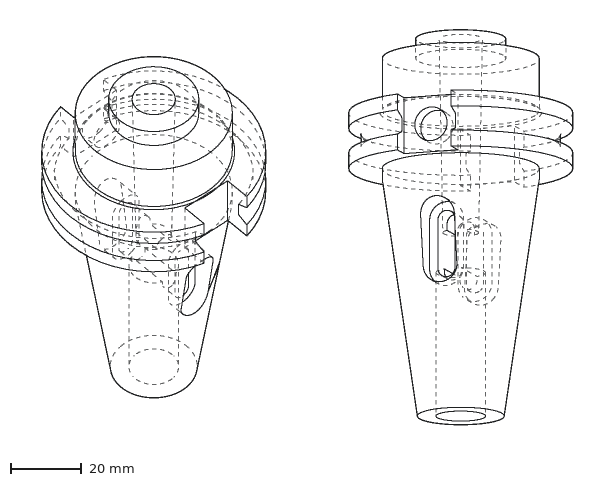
import cadquery as cq

total_height = 108.9
pilot_height = 5.7
gauge_height = 68.4
flange_bottom = 71.4
flange_thickness = 16.1
flange_top = flange_bottom + flange_thickness
shoulder_height = total_height - pilot_height

taper_small_diameter = 24.6
body_diameter = 44.4
flange_diameter = 63.4
pilot_diameter = 25.5

groove_diameter = 56.3
groove_floor_width = 4.1
groove_mouth_width = 7.0
groove_center = flange_bottom + flange_thickness / 2
corner_fillet = 0.7
groove_root_fillet = 0.7

keyway_width = 16.1
left_keyway_floor = 25.0
right_keyway_floor = 22.4

pocket_diameter = 9.7
pocket_depth = 5.0

socket_mouth_diameter = 12.2
socket_end_diameter = 10.1
socket_depth = 56.0
bolt_hole_diameter = 14.0
bolt_hole_depth = 41.4

slot_width = 5.1
slot_length = 19.2
slot_center = 47.5
recess_border = 2.5
recess_floor = 12.0


def turned_body():
    """Revolved outline: taper, grooved flange, body and pilot."""
    body_radius = body_diameter / 2
    flange_radius = flange_diameter / 2
    groove_radius = groove_diameter / 2
    pilot_radius = pilot_diameter / 2
    fillet_start = (body_radius + corner_fillet, flange_top)
    fillet_end = (body_radius, flange_top + corner_fillet)
    outline = (
        cq.Workplane("XZ")
        .lineTo(taper_small_diameter / 2, 0)
        .lineTo(body_radius, gauge_height)
        .lineTo(body_radius, flange_bottom)
        .lineTo(flange_radius, flange_bottom)
        .lineTo(flange_radius, groove_center - groove_mouth_width / 2)
        .lineTo(groove_radius, groove_center - groove_floor_width / 2)
        .lineTo(groove_radius, groove_center + groove_floor_width / 2)
        .lineTo(flange_radius, groove_center + groove_mouth_width / 2)
        .lineTo(flange_radius, flange_top)
        .lineTo(*fillet_start)
        .radiusArc(fillet_end, corner_fillet)
        .lineTo(body_radius, shoulder_height)
        .lineTo(pilot_radius, shoulder_height)
        .lineTo(pilot_radius, total_height)
        .lineTo(0, total_height)
        .close()
    )
    body = outline.revolve(360, (0, 0), (0, 1))
    groove_root = cq.selectors.BoxSelector(
        (-groove_radius, -groove_radius, groove_center - groove_floor_width),
        (groove_radius, groove_radius, groove_center + groove_floor_width),
    )
    root_edges = body.edges("%CIRCLE").edges(groove_root).edges(cq.selectors.RadiusNthSelector(0))
    return root_edges.fillet(groove_root_fillet)


def keyway(side, floor):
    """Block clearing the flange outside the floor; side is -1 or +1 along X."""
    depth = flange_diameter / 2
    return cq.Workplane("XY").box(depth, keyway_width, flange_thickness).translate(
        (side * (floor + depth / 2), 0, groove_center)
    )


def keyway_pocket():
    return (
        cq.Workplane("YZ", origin=(-left_keyway_floor, 0, groove_center))
        .circle(pocket_diameter / 2)
        .extrude(pocket_depth)
    )


def tool_socket():
    return (
        cq.Workplane("XY", origin=(0, 0, total_height - socket_depth))
        .circle(socket_end_diameter / 2)
        .workplane(offset=socket_depth)
        .circle(socket_mouth_diameter / 2)
        .loft()
    )


def bolt_hole():
    return cq.Workplane("XY").circle(bolt_hole_diameter / 2).extrude(bolt_hole_depth)


def cross_slot(length, width, x_start, x_end):
    """Upright round-ended slot running along X."""
    return (
        cq.Workplane("YZ", origin=(x_start, 0, slot_center))
        .slot2D(length, width, 90)
        .extrude(x_end - x_start)
    )


def ejector_slot():
    reach = body_diameter / 2
    recess_length = slot_length + 2 * recess_border
    recess_width = slot_width + 2 * recess_border
    slot = cross_slot(slot_length, slot_width, -reach, reach)
    for x_start, x_end in ((-reach, -recess_floor), (recess_floor, reach)):
        slot = slot.union(cross_slot(recess_length, recess_width, x_start, x_end))
    return slot


result = (
    turned_body()
    .cut(keyway(-1, left_keyway_floor))
    .cut(keyway(1, right_keyway_floor))
    .cut(keyway_pocket())
    .cut(tool_socket())
    .cut(bolt_hole())
    .cut(ejector_slot())
)